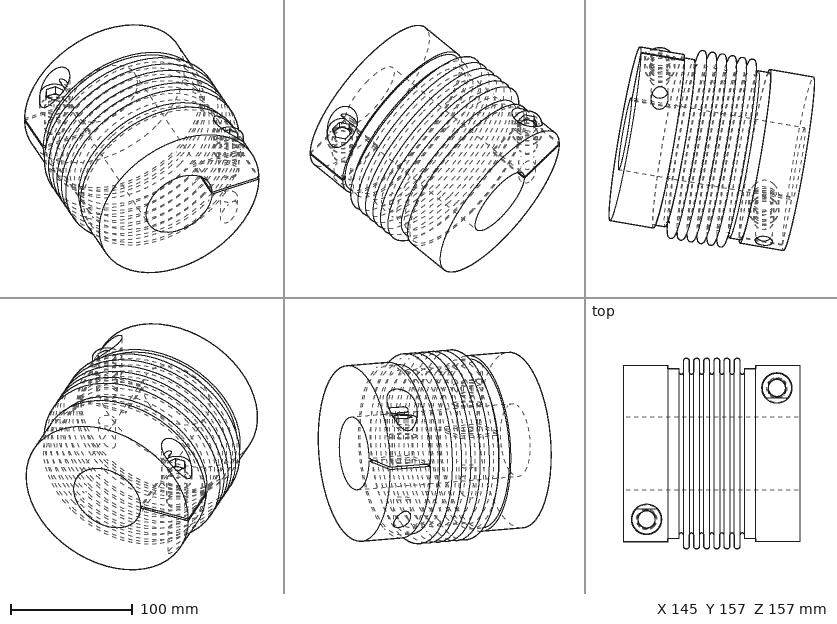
import cadquery as cq


length = 145.0
hub_diameter = 145.0
hub_width = 36.5
collar_diameter = 139.7
collar_width = 9.3
bore_diameter = 60.0

crest_radius = 78.5
root_radius = 65.3
fin_count = 6
fin_span = 41.6
fin_width = 5.0

slit_width = 2.0

screw_from_end = 19.0
screw_offset = 54.0
pocket_diameter = 25.0
clearance_diameter = 17.0
tapped_diameter = 14.0
head_diameter = 24.0
head_height = 16.0
head_top = 38.5
head_edge_radius = 1.5
shank_diameter = 16.0
shank_tip = -29.8
socket_across_flats = 14.0
socket_depth = 7.8
socket_cone_depth = 4.1

pin_diameter = 5.0
pin_length = 25.0
pin_offset = 43.0
pin_height = 42.0

fin_pitch = fin_span / (fin_count - 1)
hub_radius = hub_diameter / 2
collar_radius = collar_diameter / 2
bore_radius = bore_diameter / 2
end_x = length / 2
hub_inner_x = end_x - hub_width
collar_inner_x = hub_inner_x - collar_width
head_seat = head_top - head_height
screw_x = -end_x + screw_from_end


def make_body():
    """Revolve the hubs, collars and bellows, with the bore left open."""
    crest_start = crest_radius - fin_width / 2
    first_fin_x = -fin_span / 2
    fin_sides = []
    for i in range(fin_count):
        fin_x = first_fin_x + i * fin_pitch
        fin_sides.append((fin_x - fin_width / 2, fin_x + fin_width / 2))

    profile = (
        cq.Workplane("XY")
        .moveTo(-end_x, bore_radius)
        .lineTo(-end_x, hub_radius)
        .lineTo(-hub_inner_x, hub_radius)
        .lineTo(-hub_inner_x, collar_radius)
        .lineTo(-collar_inner_x, collar_radius)
    )
    groove_start_x = -collar_inner_x
    for left, right in fin_sides:
        profile = add_groove(profile, groove_start_x, left)
        profile = profile.lineTo(left, crest_start).threePointArc(
            ((left + right) / 2, crest_radius), (right, crest_start)
        )
        groove_start_x = right
    profile = add_groove(profile, groove_start_x, collar_inner_x)
    profile = (
        profile.lineTo(collar_inner_x, collar_radius)
        .lineTo(hub_inner_x, collar_radius)
        .lineTo(hub_inner_x, hub_radius)
        .lineTo(end_x, hub_radius)
        .lineTo(end_x, bore_radius)
        .close()
    )
    return profile.revolve(360, (0, 0, 0), (1, 0, 0))


def add_groove(profile, left, right):
    """Go down one groove side and round its semicircular bottom."""
    bottom_radius = (right - left) / 2
    bottom_start = root_radius + bottom_radius
    return profile.lineTo(left, bottom_start).threePointArc(
        ((left + right) / 2, root_radius), (right, bottom_start)
    )


def vertical_cylinder(diameter, bottom, top):
    """Cylinder on the screw axis between two heights."""
    return (
        cq.Workplane("XY", origin=(screw_x, -screw_offset, bottom))
        .circle(diameter / 2)
        .extrude(top - bottom)
    )


def make_clamp_cut():
    """Slit on the -Y side of the -X hub plus the stepped screw hole."""
    slit = cq.Workplane("XY").box(hub_width, hub_radius, slit_width).translate(
        (-end_x + hub_width / 2, -hub_radius / 2, 0)
    )
    pocket = vertical_cylinder(pocket_diameter, head_seat, hub_radius)
    clearance = vertical_cylinder(clearance_diameter, 0, head_seat)
    tapped = vertical_cylinder(tapped_diameter, -hub_radius, 0)
    return slit.union(pocket).union(clearance).union(tapped)


def make_screw():
    """Socket head screw, round-edged on top, with a hexagonal socket ending in a cone."""
    head = vertical_cylinder(head_diameter, head_seat, head_top).faces(">Z").fillet(head_edge_radius)
    shank = vertical_cylinder(shank_diameter, shank_tip, head_seat)
    socket_floor = head_top - socket_depth
    socket = (
        cq.Workplane("XY", origin=(screw_x, -screw_offset, socket_floor))
        .polygon(6, socket_across_flats, circumscribed=True)
        .extrude(socket_depth)
    )
    cone = cq.Workplane("XY").add(
        cq.Solid.makeCone(
            socket_across_flats / 2,
            0,
            socket_cone_depth,
            pnt=cq.Vector(screw_x, -screw_offset, socket_floor),
            dir=cq.Vector(0, 0, -1),
        )
    )
    return head.union(shank).cut(socket).cut(cone)


def make_pin():
    """Round pin along X, partly sunk in the inner wall of the pocket."""
    return (
        cq.Workplane("YZ", origin=(screw_x, -pin_offset, pin_height))
        .circle(pin_diameter / 2)
        .extrude(pin_length / 2, both=True)
    )


clamp_cut = make_clamp_cut()
clamp_hardware = make_screw().union(make_pin())
result = make_body()
for turn in (0, 180):
    result = result.cut(clamp_cut.rotate((0, 0, 0), (0, 0, 1), turn))
    for hardware_solid in clamp_hardware.solids().vals():
        result = result.union(cq.Workplane(hardware_solid.rotate((0, 0, 0), (0, 0, 1), turn)))